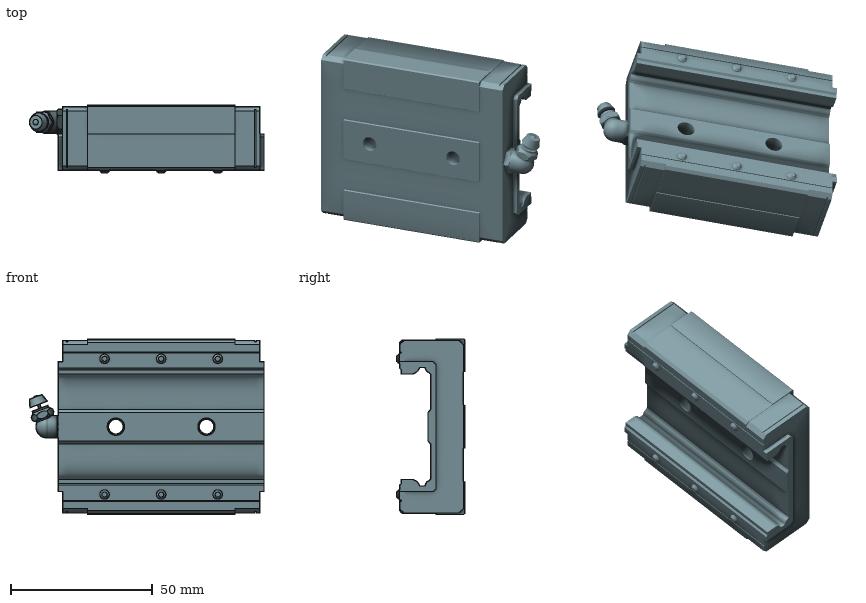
import cadquery as cq
import math


overall_length = 82.9
seal_length = 72.7
cap_length = 69.6
block_length = 52.0

overall_depth = 24.0
body_depth = 23.05
cap_back = 0.5
block_height = 62.0
cap_height = 61.0
cap_chamfer = 1.6
block_back_chamfer = 0.4
block_front_chamfer = 1.0
side_step_depth = 10.1
side_step = 0.3
seal_height = 45.9
seal_back = 10.1
seal_chamfer = 1.1

channel_floor = 12.1
ridge_top = 13.0
ridge_top_width = 10.1
ridge_base_width = 12.2
lip_half = 18.6
lip_bevel_end = 12.7
lip_bevel_half = 19.1
groove_half = 20.9
groove_wall = 0.4
groove_wall_lean = 0.2
groove_start = 14.1
groove_end = 15.9
lip_start = 18.6
lip_end = 22.5
lip_corner_half = 20.1
face_half = 20.65
inner_lip_middle = (-13.5, 19.65)
outer_lip_middle = (-17.1, 19.2)

pad_relief_inner = 7.5
pad_relief_outer = 19.6
pad_slope = 0.25

face_groove_z = 26.2
face_groove_width = 0.3
face_groove_depth = 0.6
cap_groove_offset = 1.6
cap_groove_width = 0.5
cap_groove_depth = 0.5

hole_spacing = 32.0
hole_diameter = 5.1
hole_mouth_diameter = 6.1
hole_mouth_depth = ridge_top / 2

screw_pitch = 20.0
screw_z = 23.95
screw_radius = 1.65
screw_tip_radius = 0.9
screw_rim = 0.25
screw_height = overall_depth - body_depth

nipple_depth = 6.05
nipple_tilt = 21.0
base_nut_flats = 8.0
elbow_radius = base_nut_flats / 2
base_nut_thickness = 1.9
base_nut_chamfer = 0.4
nut_flats = 7.1
nut_bottom = 3.2
nut_upper_edge = 5.05
nut_chamfer_top = 6.3
nut_lower_chamfer = 0.8
neck_radius = 0.5
collar_radius = 3.0
collar_top = 7.0
head_bottom = 8.4
head_top = 11.3
head_bottom_radius = 3.3
head_top_radius = 2.4
check_ball_radius = 1.65
check_ball_rise = 0.3

seal_half = seal_length / 2
cap_half = cap_length / 2

tilt_angle = math.radians(nipple_tilt)
head_overhang = head_top * math.sin(tilt_angle) + head_top_radius * math.cos(tilt_angle)
elbow_length = overall_length - seal_half - cap_half - head_overhang


def extrude_along_x(points, length):
    """Extrude a (depth, z) outline symmetrically along X."""
    outline = [(-depth, z) for depth, z in points]
    return cq.Workplane("YZ").polyline(outline).close().extrude(length / 2, both=True)


def mirrored(half_points):
    """Complete an outline whose listed half lies at positive z."""
    return half_points + [(depth, -z) for depth, z in reversed(half_points)]


def make_block():
    """Block with a small step part way down each side."""
    half = block_height / 2
    return extrude_along_x(mirrored([
        (0, half - block_back_chamfer),
        (block_back_chamfer, half),
        (side_step_depth, half),
        (side_step_depth, half - side_step),
        (body_depth - block_front_chamfer, half - side_step),
        (body_depth, half - side_step - block_front_chamfer),
    ]), block_length)


def make_end_caps():
    """Chamfered end caps with a fine groove across each side face."""
    half = cap_height / 2
    caps = extrude_along_x(mirrored([
        (cap_back, half - cap_chamfer),
        (cap_back + cap_chamfer, half),
        (body_depth - cap_chamfer, half),
        (body_depth, half - cap_chamfer),
    ]), cap_length)
    for x_side in (-1, 1):
        for z_side in (-1, 1):
            groove = cq.Workplane("XY").box(cap_groove_width, 2 * body_depth, 2 * cap_groove_depth)
            caps = caps.cut(groove.translate((
                x_side * (cap_half - cap_groove_offset), -body_depth / 2, z_side * half)))
    return caps


def make_seals():
    """End seals, standing proud of the caps around the rail channel."""
    half = seal_height / 2
    return extrude_along_x(mirrored([
        (seal_back, half - seal_chamfer),
        (seal_back + seal_chamfer, half),
        (body_depth, half),
    ]), seal_length)


def make_channel():
    """Void for the rail: ball grooves beside rounded lips, and a low central ridge."""
    outer = body_depth + 0.8
    groove_edge = groove_half - groove_wall
    upper_half = (
        cq.Workplane("YZ")
        .moveTo(-ridge_top, 0)
        .lineTo(-ridge_top, ridge_top_width / 2)
        .lineTo(-channel_floor, ridge_base_width / 2)
        .lineTo(-channel_floor, lip_half)
        .lineTo(-lip_bevel_end, lip_bevel_half)
        .threePointArc(inner_lip_middle, (-groove_start + groove_wall_lean, groove_edge))
        .lineTo(-groove_start, groove_half)
        .lineTo(-groove_end, groove_half)
        .lineTo(-groove_end - groove_wall_lean, groove_edge)
        .threePointArc(outer_lip_middle, (-lip_start, lip_half))
        .lineTo(-lip_end, lip_half)
        .lineTo(-lip_end, lip_corner_half)
        .lineTo(-body_depth, face_half)
        .lineTo(-outer, face_half)
        .lineTo(-outer, 0)
        .close()
        .extrude(seal_length, both=True)
    )
    return upper_half.union(upper_half.mirror("XY"))


def make_pad_relief():
    """Shallow trapezoid channel between two mounting pads on the +Z side."""
    return extrude_along_x([
        (0, pad_relief_inner),
        (cap_back, pad_relief_inner + pad_slope),
        (cap_back, pad_relief_outer - pad_slope),
        (0, pad_relief_outer),
    ], block_length)


def make_hole():
    """Through hole, wider on the channel side, with a 45 degree conical shoulder."""
    radius = hole_diameter / 2
    mouth_radius = hole_mouth_diameter / 2
    shoulder_depth = ridge_top - hole_mouth_depth
    return (
        cq.Workplane("XY")
        .polyline([
            (0, 0),
            (radius, 0),
            (radius, -shoulder_depth + mouth_radius - radius),
            (mouth_radius, -shoulder_depth),
            (mouth_radius, -ridge_top),
            (0, -ridge_top),
        ])
        .close()
        .revolve(360, (0, 0, 0), (0, 1, 0))
    )


def make_screw():
    """Low button head standing on the front face, with its axis along -Y."""
    return (
        cq.Workplane("XY")
        .moveTo(0, 0)
        .lineTo(screw_radius, 0)
        .lineTo(screw_radius, -screw_rim)
        .lineTo(screw_tip_radius, -screw_height)
        .lineTo(0, -screw_height)
        .close()
        .revolve(360, (0, 0, 0), (0, 1, 0))
        .translate((0, -body_depth, 0))
    )


def revolve_about_z(points):
    """Turn a (radius, z) outline about Z."""
    return cq.Workplane("XZ").polyline(points).close().revolve(360, (0, 0, 0), (0, 1, 0))


def make_nipple():
    """Elbow grease nipple on the -X cap, its head tilted toward -X from +Z."""
    corner_radius = nut_flats / math.sqrt(3)
    envelope = revolve_about_z([
        (0, nut_bottom),
        (nut_flats / 2, nut_bottom),
        (corner_radius, nut_bottom + nut_lower_chamfer),
        (corner_radius, nut_upper_edge),
        (collar_radius, nut_chamfer_top),
        (0, nut_chamfer_top),
    ])
    nut = (
        cq.Workplane("XY")
        .workplane(offset=nut_bottom)
        .polygon(6, 2 * corner_radius)
        .extrude(nut_chamfer_top - nut_bottom)
        .intersect(envelope)
    )
    stem = revolve_about_z([
        (0, 0),
        (collar_radius, 0),
        (collar_radius, collar_top),
        (neck_radius, collar_top),
        (neck_radius, head_bottom),
        (head_bottom_radius, head_bottom),
        (head_top_radius, head_top),
        (0, head_top),
    ])
    check_ball = cq.Workplane("XY").sphere(check_ball_radius)
    check_ball = check_ball.translate((0, 0, head_top + check_ball_rise - check_ball_radius))
    head = nut.union(stem).union(check_ball).rotate((0, 0, 0), (0, 1, 0), -nipple_tilt)

    elbow = cq.Workplane("YZ").circle(elbow_radius).extrude(elbow_length)
    base_corner_radius = base_nut_flats / math.sqrt(3)
    base_plane = cq.Workplane("YZ").workplane(offset=elbow_length - base_nut_thickness)
    base_envelope = base_plane.circle(base_corner_radius).extrude(base_nut_thickness)
    base_envelope = base_envelope.faces("<X").chamfer(base_nut_chamfer)
    base_nut = base_plane.polygon(6, 2 * base_corner_radius).extrude(base_nut_thickness)
    base_nut = base_nut.intersect(base_envelope)
    ball = cq.Workplane("XY").sphere(elbow_radius)
    nipple = ball.union(elbow).union(base_nut).union(head)
    return nipple.translate((-cap_half - elbow_length, -nipple_depth, 0))


body = make_block().union(make_end_caps()).union(make_seals())
body = body.cut(make_channel())

relief = make_pad_relief()
body = body.cut(relief).cut(relief.mirror("XY"))

for side in (-1, 1):
    face_groove = cq.Workplane("XY").box(cap_length, 2 * face_groove_depth, face_groove_width)
    body = body.cut(face_groove.translate((0, -body_depth, side * face_groove_z)))
    for column in (-1, 0, 1):
        body = body.union(make_screw().translate((column * screw_pitch, 0, side * screw_z)))
    body = body.cut(make_hole().translate((side * hole_spacing / 2, 0, 0)))

result = body.union(make_nipple())